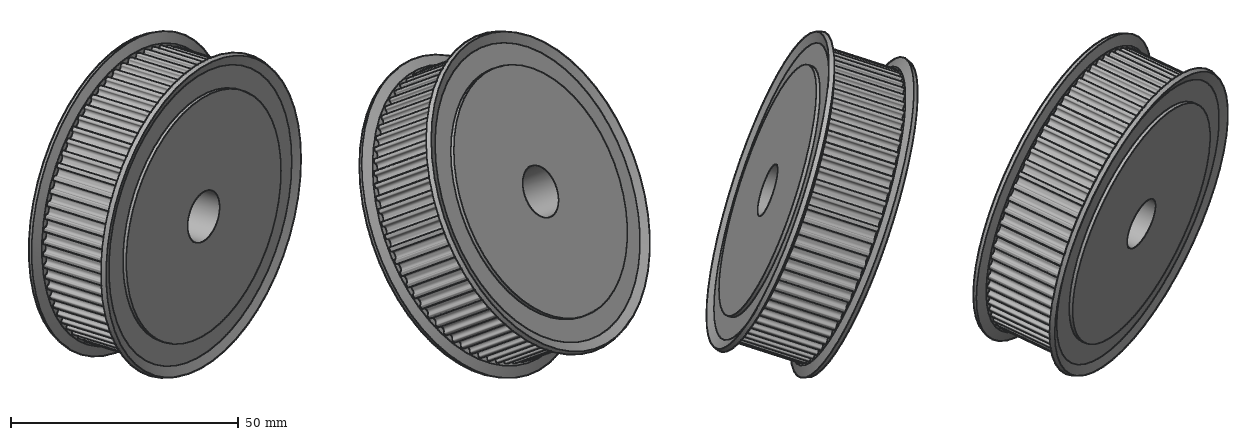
import cadquery as cq
import math


rim_diameter = 74.0
overall_width = 21.0
bore_diameter = 12.0

tooth_count = 72
tooth_tip_diameter = 68.0
groove_depth = 1.0
groove_width = 1.85
groove_corner_radius = 0.7
tip_rounding = 0.3

flange_thickness = 1.2
flange_flat_diameter = 69.0
flange_lean = math.radians(21)

hub_diameter = 58.0

rim_radius = rim_diameter / 2
tip_radius = tooth_tip_diameter / 2
inner_bend_radius = flange_flat_diameter / 2
outer_bend_radius = inner_bend_radius - flange_thickness * math.tan(flange_lean / 2)
bend_rise = (rim_radius - inner_bend_radius) * math.tan(flange_lean)
edge_width = flange_thickness * math.cos(flange_lean)
edge_drop = flange_thickness * math.sin(flange_lean)
inner_face = overall_width / 2 - edge_width - bend_rise
outer_face = inner_face + flange_thickness


def disc(diameter, width):
    return cq.Workplane("YZ").circle(diameter / 2).extrude(width / 2, both=True)


def groove_cutter():
    """One belt groove at the top of the rim: flat floor, rounded corners and rounded tooth tips."""
    half_width = groove_width / 2
    half_floor = half_width - groove_corner_radius
    half_mouth = half_width + tip_rounding
    floor = tip_radius - groove_depth
    land = math.sqrt(tip_radius**2 - half_mouth**2)
    diagonal = math.sqrt(0.5)
    corner_middle = (
        half_floor + groove_corner_radius * diagonal,
        floor + groove_corner_radius * (1 - diagonal),
    )
    tip_middle = (
        half_mouth - tip_rounding * diagonal,
        land - tip_rounding * (1 - diagonal),
    )
    half_profile = (
        cq.Workplane("YZ", origin=(-inner_face, 0, 0))
        .moveTo(0, floor)
        .lineTo(half_floor, floor)
        .threePointArc(corner_middle, (half_width, floor + groove_corner_radius))
        .lineTo(half_width, land - tip_rounding)
        .threePointArc(tip_middle, (half_mouth, land))
        .lineTo(half_mouth, rim_radius)
        .lineTo(0, rim_radius)
    )
    return half_profile.mirrorY().extrude(2 * inner_face).val()


def make_toothed_rim():
    cutter = groove_cutter()
    axis_start = cq.Vector(0, 0, 0)
    axis_end = cq.Vector(1, 0, 0)
    pitch_angle = 360 / tooth_count
    grooves = [cutter.rotate(axis_start, axis_end, i * pitch_angle) for i in range(tooth_count)]
    return disc(tooth_tip_diameter, 2 * inner_face).cut(cq.Workplane(cq.Compound.makeCompound(grooves)))


def make_flange():
    """Flange on the +X side: a full disc whose rim leans away from the teeth."""
    profile = [
        (inner_face, 0),
        (inner_face, inner_bend_radius),
        (inner_face + bend_rise, rim_radius),
        (overall_width / 2, rim_radius - edge_drop),
        (outer_face, outer_bend_radius),
        (outer_face, 0),
    ]
    return cq.Workplane("XY").polyline(profile).close().revolve(360, (0, 0, 0), (1, 0, 0))


flange = make_flange()
hub = disc(hub_diameter, overall_width)
bore = disc(bore_diameter, overall_width)
result = make_toothed_rim().union(flange).union(flange.mirror("YZ")).union(hub).cut(bore)